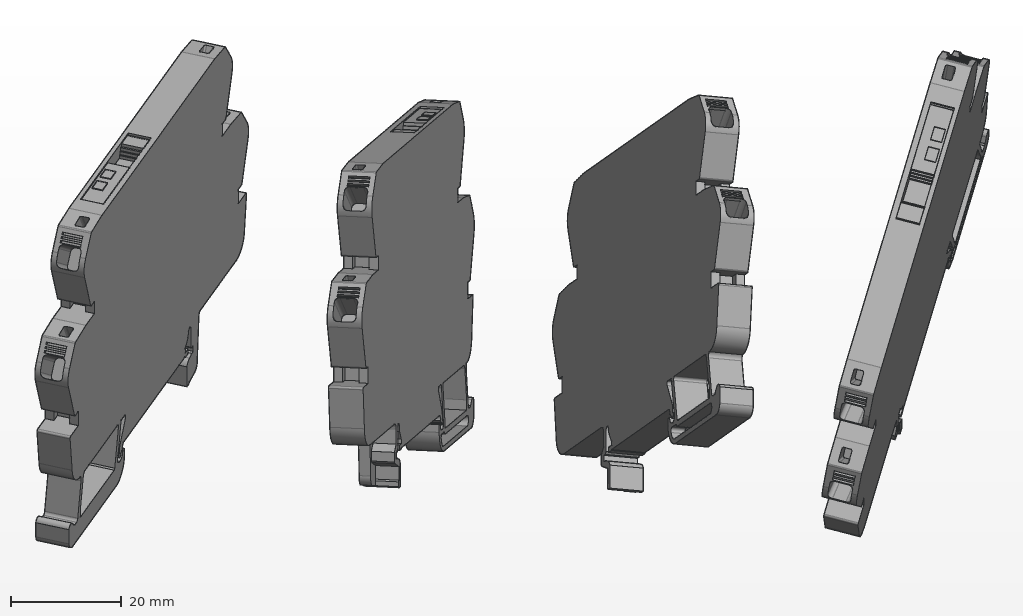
import cadquery as cq
import math

WIDTH = 6.4
LENGTH = 89.4
HEIGHT = 62.5
HALF_WIDTH = WIDTH / 2

TIER_OUT = 7.95
TIER_DROP = 18.9
NOSE_RADIUS = 4.0
NOSE_Y = LENGTH / 2 - TIER_OUT
NOSE_Z = 55.7
FACE_ANGLE = math.radians(36)
UNDERSIDE_ANGLE = math.radians(-21)
SHOULDER_START = 27.9
SHOULDER_Z = 61.9
SHOULDER_ROUND = 0.4
TIER_BASE_Z = 46.2
NOTCH_UPPER_Y = 31.6
NOTCH_RECESS_WIDTH = 3.0
NOTCH_RECESS_DEPTH = 1.8

SKIRT_TOP_Z = 24.3
SKIRT_TOP_Y = 43.7
SKIRT_TOP_ROUND = 0.4
SKIRT_SIDE = (42.6, 16.5)
SKIRT_ROUND_MID = (41.5, 13.9)
SKIRT_ROUND_END_Y = 38.4
BODY_BASE_Z = 12.7
RAIL_BASE_Z = 7.2

ENTRY_WIDTH = 4.3
ENTRY_LENGTH = 4.3
ENTRY_ROUND = 0.9
ENTRY_DEPTH = 7.15
ENTRY_CENTER_Z = 57.6
COMB_WIDTH = 3.9
COMB_LENGTH = 2.0
COMB_DEPTH = 0.7
COMB_CENTER_Z = 60.3
COMB_X = -0.2
SLAT_WIDTH = 0.4
SLAT_PITCH = 0.7
RELEASE_X = 0.5
RELEASE_Y = 30.9
RELEASE_WIDTH = 1.9
RELEASE_LENGTH = 3.0
RELEASE_ROUND = 0.4
RELEASE_DEPTH = 6.3
RELEASE_TILT = 30.0

PANEL_X = (-2.3, 2.1)
PANEL_Y = (-24.3, -0.7)
PANEL_DEPTH = 0.3
PANEL_GROOVE_WIDTH = 0.4
PANEL_GROOVE_DEPTH = 0.2
SWITCH_Y = (-10.9, -4.1)
SWITCH_STEPS = 4
SWITCH_STEP_RUN = 0.4
SWITCH_STEP_DROP = 0.6
LAMP_X = (-1.9, 0.2)
LAMP_LENGTH = 2.6
LAMP_CENTERS_Y = (-18.6, -14.6)
LAMP_HEIGHT = 0.2

FIXED_WEB_THICKNESS = 2.15
FOOT_GROOVE_DEPTH = 2.7
FOOT_ROOT_Z = 13.4

TIERS = (0, 1)


def full_width(profile):
    return profile.extrude(HALF_WIDTH, both=True)


def profile_plane():
    return cq.Workplane("YZ")


def block(x_range, y_range, z_range):
    ranges = (x_range, y_range, z_range)
    sizes = [high - low for low, high in ranges]
    return cq.Workplane().box(*sizes, centered=False).translate([low for low, high in ranges])


def mirrored_pair(solid):
    return solid.union(solid.mirror("XZ"))


def nose_point(angle):
    center_y = NOSE_Y - NOSE_RADIUS
    return center_y + NOSE_RADIUS * math.cos(angle), NOSE_Z + NOSE_RADIUS * math.sin(angle)


def face_y(z):
    """Y of the sloping wire entry face at height z."""
    start_y, start_z = nose_point(FACE_ANGLE)
    return start_y - (z - start_z) * math.tan(FACE_ANGLE)


def underside_y(z):
    start_y, start_z = nose_point(UNDERSIDE_ANGLE)
    return start_y + (z - start_z) * math.tan(-UNDERSIDE_ANGLE)


def tier_half():
    """Upper tier out to its nose, reaching past the middle so that the lower copy also closes there."""
    tier = full_width(
        profile_plane()
        .moveTo(-TIER_OUT, TIER_BASE_Z)
        .lineTo(-TIER_OUT, HEIGHT)
        .lineTo(SHOULDER_START, HEIGHT)
        .lineTo(face_y(SHOULDER_Z), SHOULDER_Z)
        .lineTo(*nose_point(FACE_ANGLE))
        .threePointArc(nose_point(0), nose_point(UNDERSIDE_ANGLE))
        .lineTo(underside_y(TIER_BASE_Z), TIER_BASE_Z)
        .close()
    )
    corners = [(face_y(SHOULDER_Z), SHOULDER_Z), (underside_y(TIER_BASE_Z), TIER_BASE_Z)]
    for y, z in corners:
        tier = tier.edges(cq.selectors.NearestToPointSelector((0, y, z))).fillet(SHOULDER_ROUND)
    return tier


def skirt_half():
    skirt = full_width(
        profile_plane()
        .moveTo(0, BODY_BASE_Z)
        .lineTo(0, SKIRT_TOP_Z)
        .lineTo(SKIRT_TOP_Y, SKIRT_TOP_Z)
        .lineTo(*SKIRT_SIDE)
        .threePointArc(SKIRT_ROUND_MID, (SKIRT_ROUND_END_Y, BODY_BASE_Z))
        .close()
    )
    top_corner = cq.selectors.NearestToPointSelector((0, SKIRT_TOP_Y, SKIRT_TOP_Z))
    return skirt.edges(top_corner).fillet(SKIRT_TOP_ROUND)


def neck_half(tier):
    """Wall of the notch below a tier, with its recessed middle."""
    neck_y = NOTCH_UPPER_Y + tier * TIER_OUT
    top_z = TIER_BASE_Z - tier * TIER_DROP
    floor_z = (HEIGHT - TIER_DROP, SKIRT_TOP_Z)[tier]
    neck = block((-HALF_WIDTH, HALF_WIDTH), (0, neck_y), (floor_z, top_z))
    recess_x = (-NOTCH_RECESS_WIDTH / 2, NOTCH_RECESS_WIDTH / 2)
    return neck.cut(block(recess_x, (neck_y - NOTCH_RECESS_DEPTH, neck_y), (floor_z, top_z)))


def housing():
    half = skirt_half()
    for tier in TIERS:
        half = half.union(tier_half().translate((0, tier * TIER_OUT, -tier * TIER_DROP)))
        half = half.union(neck_half(tier))
    return mirrored_pair(half)


def entry_face_plane(z, x=0.0):
    """Plane on the sloping face, local y running up the slope, normal pointing outward."""
    return cq.Plane(
        origin=(x, face_y(z), z),
        xDir=(-1, 0, 0),
        normal=(0, math.cos(FACE_ANGLE), math.sin(FACE_ANGLE)),
    )


def wire_entry():
    return (
        cq.Workplane(entry_face_plane(ENTRY_CENTER_Z))
        .workplane(offset=-ENTRY_DEPTH)
        .rect(ENTRY_WIDTH, ENTRY_LENGTH)
        .extrude(ENTRY_DEPTH + NOSE_RADIUS)
        .edges(cq.selectors.ParallelDirSelector(entry_face_plane(ENTRY_CENTER_Z).zDir))
        .fillet(ENTRY_ROUND)
    )


def comb_recess():
    plane = entry_face_plane(COMB_CENTER_Z, COMB_X)
    recess = cq.Workplane(plane).rect(COMB_WIDTH, COMB_LENGTH).extrude(-COMB_DEPTH)
    slats = (
        cq.Workplane(plane)
        .rarray(0.9, SLAT_PITCH, 1, 2)
        .rect(COMB_WIDTH, SLAT_WIDTH)
        .extrude(-COMB_DEPTH)
    )
    return recess.cut(slats)


def release_hole():
    """Round-cornered screwdriver hole, leaning inward as it goes down."""
    lean = math.radians(RELEASE_TILT)
    plane = cq.Plane(
        origin=(RELEASE_X, RELEASE_Y, HEIGHT),
        xDir=(0, math.cos(lean), -math.sin(lean)),
        normal=(0, math.sin(lean), math.cos(lean)),
    )
    return (
        cq.Workplane(plane)
        .rect(RELEASE_LENGTH * math.cos(lean), RELEASE_WIDTH)
        .extrude(RELEASE_DEPTH, both=True)
        .edges(cq.selectors.ParallelDirSelector(plane.zDir))
        .fillet(RELEASE_ROUND)
    )


def terminal_openings():
    upper = wire_entry().union(comb_recess()).union(release_hole())
    lower = upper.translate((0, TIER_OUT, -TIER_DROP))
    ceiling_z = HEIGHT - TIER_DROP + SHOULDER_ROUND
    below_upper_tier = block((-HALF_WIDTH, HALF_WIDTH), (0, LENGTH / 2), (0, ceiling_z))
    return mirrored_pair(upper.union(lower.intersect(below_upper_tier)))


def panel_recess():
    """Shallow panel with two raised lamps, grooved ends and a stepped switch pit."""
    floor_z = HEIGHT - PANEL_DEPTH
    recess = block(PANEL_X, PANEL_Y, (floor_z, HEIGHT))
    for center_y in LAMP_CENTERS_Y:
        lamp_y = (center_y - LAMP_LENGTH / 2, center_y + LAMP_LENGTH / 2)
        recess = recess.cut(block(LAMP_X, lamp_y, (floor_z, floor_z + LAMP_HEIGHT)))
    for step in range(SWITCH_STEPS):
        inset = step * SWITCH_STEP_RUN
        step_y = (SWITCH_Y[0] + inset, SWITCH_Y[1] - inset)
        step_floor = floor_z - (step + 1) * SWITCH_STEP_DROP
        recess = recess.union(block(PANEL_X, step_y, (step_floor, floor_z)))
    for start_y in (PANEL_Y[0], PANEL_Y[1] - PANEL_GROOVE_WIDTH):
        groove_y = (start_y, start_y + PANEL_GROOVE_WIDTH)
        recess = recess.union(block(PANEL_X, groove_y, (floor_z - PANEL_GROOVE_DEPTH, floor_z)))
    return recess


def rail_block():
    """Middle block resting on the rail, with a lug at +Y and a hook at -Y."""
    return full_width(
        profile_plane()
        .moveTo(14.9, BODY_BASE_Z)
        .lineTo(14.9, 11.6)
        .lineTo(14.7, 10.55)
        .lineTo(13.3, 8.85)
        .lineTo(13.3, 8.0)
        .lineTo(14.75, 8.0)
        .lineTo(14.75, 7.1)
        .lineTo(13.2, 7.1)
        .lineTo(13.2, RAIL_BASE_Z)
        .lineTo(-17.2, RAIL_BASE_Z)
        .threePointArc((-17.5, 7.0), (-17.6, 6.2))
        .lineTo(-18.5, 5.6)
        .threePointArc((-19.0, 5.1), (-19.2, 6.2))
        .lineTo(-19.2, 7.1)
        .lineTo(-18.95, 7.8)
        .lineTo(-16.3, 11.9)
        .threePointArc((-16.2, 12.3), (-16.5, BODY_BASE_Z))
        .close()
    )


def fixed_leg():
    """Stiff leg at +Y: a full-width strip facing the rail, backed by a thin web."""
    web_x = HALF_WIDTH - FIXED_WEB_THICKNESS
    leg = full_width(
        profile_plane()
        .moveTo(20.7, BODY_BASE_Z)
        .threePointArc((20.3, 12.4), (20.1, 11.9))
        .lineTo(19.3, 3.0)
        .threePointArc((19.0, 1.8), (18.2, 1.1))
        .lineTo(15.5, 0.5)
        .lineTo(15.1, 0.3)
        .lineTo(14.1, 0.3)
        .lineTo(14.1, 4.6)
        .threePointArc((14.7, 5.3), (15.5, 5.6))
        .lineTo(16.5, 6.0)
        .lineTo(17.25, 6.0)
        .lineTo(17.25, 7.15)
        .lineTo(16.5, 7.15)
        .lineTo(16.1, 7.6)
        .lineTo(16.1, 11.6)
        .threePointArc((15.51, 12.15), (14.9, 11.6))
        .lineTo(14.9, BODY_BASE_Z)
        .close()
    )
    cutback = (
        profile_plane()
        .workplane(offset=-HALF_WIDTH)
        .moveTo(20.7, BODY_BASE_Z)
        .lineTo(18.6, BODY_BASE_Z)
        .threePointArc((17.8, 12.3), (17.4, 11.5))
        .lineTo(17.4, 8.8)
        .lineTo(18.8, 7.5)
        .lineTo(18.8, 5.7)
        .lineTo(18.4, 5.4)
        .lineTo(15.3, 4.2)
        .lineTo(15.3, 1.7)
        .lineTo(15.5, 1.4)
        .lineTo(15.5, 0.0)
        .lineTo(20.7, 0.0)
        .close()
        .extrude(HALF_WIDTH + web_x)
    )
    return leg.cut(cutback)


def spring_foot():
    """Sprung foot at -Y: two thin leaning struts carrying a latch bar."""
    frame = full_width(
        profile_plane()
        .moveTo(-18.3, BODY_BASE_Z)
        .lineTo(-18.6, 12.0)
        .lineTo(-19.9, 6.0)
        .threePointArc((-20.0, 4.7), (-18.95, 4.3))
        .threePointArc((-18.0, 4.65), (-17.6, 5.6))
        .lineTo(-16.7, 5.6)
        .lineTo(-16.7, 4.2)
        .threePointArc((-17.8, 1.4), (-20.2, 0.0))
        .lineTo(-42.2, 0.0)
        .threePointArc((-43.6, 0.5), (-44.2, 1.7))
        .lineTo(-44.2, 4.7)
        .threePointArc((-43.6, 5.4), (-42.6, 5.2))
        .lineTo(-41.65, 4.2)
        .lineTo(-41.3, 4.0)
        .lineTo(-40.4, 4.0)
        .threePointArc((-40.0, 4.2), (-39.9, 4.6))
        .lineTo(-38.25, 11.6)
        .threePointArc((-38.3, 12.4), (-39.0, 13.0))
        .lineTo(-36.6, FOOT_ROOT_Z)
        .lineTo(-18.3, FOOT_ROOT_Z)
        .close()
    )
    window = full_width(
        profile_plane()
        .moveTo(-20.3, BODY_BASE_Z)
        .threePointArc((-19.8, 12.5), (-19.75, 12.0))
        .lineTo(-21.5, 4.3)
        .lineTo(-21.8, 4.0)
        .lineTo(-38.5, 4.0)
        .lineTo(-38.5, 5.9)
        .lineTo(-37.1, 12.0)
        .threePointArc((-36.8, 12.4), (-36.4, BODY_BASE_Z))
        .close()
    )
    groove = (
        profile_plane()
        .workplane(offset=-HALF_WIDTH)
        .moveTo(-18.95, 3.5)
        .lineTo(-20.8, 3.5)
        .lineTo(-21.45, 2.95)
        .lineTo(-39.05, 2.95)
        .threePointArc((-39.95, 2.0), (-39.05, 1.0))
        .lineTo(-19.9, 1.0)
        .threePointArc((-18.95, 1.6), (-18.4, 2.6))
        .threePointArc((-18.4, 3.2), (-18.95, 3.5))
        .close()
        .extrude(FOOT_GROOVE_DEPTH)
    )
    return frame.cut(window).cut(groove)


result = (
    housing()
    .cut(terminal_openings())
    .cut(panel_recess())
    .union(rail_block())
    .union(fixed_leg())
    .union(spring_foot())
)